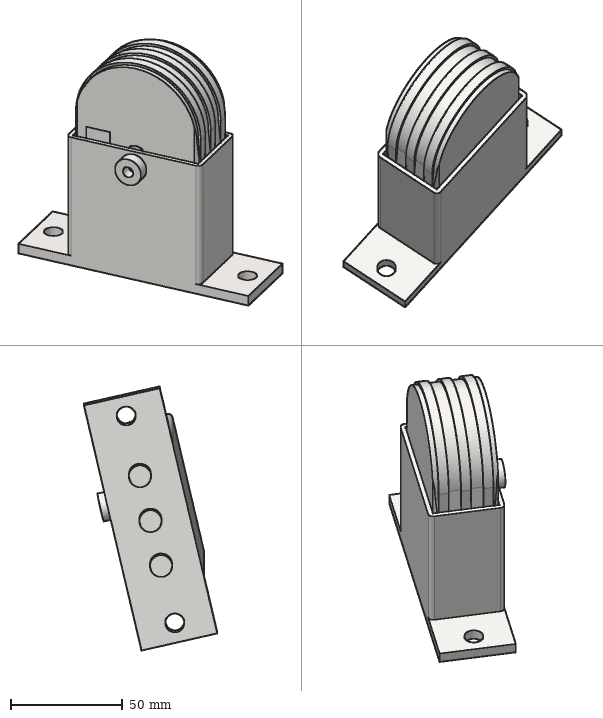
import cadquery as cq


flange_length = 115.0
depth = 35.0
flange_thickness = 5.0
mount_hole_diameter = 8.5
mount_hole_spacing = 97.1

box_width = 67.0
box_top = 65.0
wall = 2.2
box_corner_radius = 2.3

boss_diameter = 13.0
boss_length = 5.5
boss_bore_diameter = 5.1
boss_bore_depth = boss_length
boss_height = 57.0

block_depth = 30.0
block_top = 107.0
rib_radius = 31.3
rib_width = 4.6
rib_pitch = 10.2
rib_count = 3
groove_depth = 1.2
taper_length = 13.8
corner_chamfer = 2.0

lock_hole_diameter = 8.5
lock_hole_depth = 11.5
lock_hole_height = 62.5
lock_cone_diameter = 6.7
lock_cone_depth = 5.8

marker_width = 11.8
marker_height = 11.8
marker_depth = 0.1
marker_center_x = -18.9
marker_top = 70.6

pin_diameter = 10.0
pin_protrusion = 4.0
pin_spacing = 21.0
pin_count = 3

arc_center_height = block_top - rib_radius
block_front = -block_depth / 2
housing_front = -depth / 2


def centered_positions(count, spacing):
    """Evenly spaced positions, symmetric about zero."""
    return [(index - (count - 1) / 2) * spacing for index in range(count)]


pin_positions = centered_positions(pin_count, pin_spacing)


def front_plane(y, x=0, z=0):
    """Sketch plane facing -Y; extruding by a negative length goes into the part."""
    return cq.Workplane(cq.Plane(origin=(x, y, z), xDir=(1, 0, 0), normal=(0, -1, 0)))


def make_housing():
    flange = cq.Workplane("XY").box(flange_length, depth, flange_thickness, centered=(True, True, False))
    box = (
        cq.Workplane("XY")
        .box(box_width, depth, box_top, centered=(True, True, False))
        .edges("|Z")
        .fillet(box_corner_radius)
    )
    boss = front_plane(housing_front, z=boss_height).circle(boss_diameter / 2).extrude(boss_length)
    cavity = (
        cq.Workplane("XY", origin=(0, 0, flange_thickness))
        .rect(box_width - 2 * wall, depth - 2 * wall)
        .extrude(box_top - flange_thickness)
    )
    boss_bore = (
        front_plane(housing_front - boss_length, z=boss_height)
        .circle(boss_bore_diameter / 2)
        .extrude(-boss_bore_depth)
    )
    mount_holes = (
        cq.Workplane("XY")
        .pushPoints([(-mount_hole_spacing / 2, 0), (mount_hole_spacing / 2, 0)])
        .circle(mount_hole_diameter / 2)
        .extrude(flange_thickness)
    )
    pin_holes = (
        cq.Workplane("XY")
        .pushPoints([(x, 0) for x in pin_positions])
        .circle(pin_diameter / 2)
        .extrude(flange_thickness)
    )
    return flange.union(box).union(boss).cut(cavity).cut(boss_bore).cut(mount_holes).cut(pin_holes)


def make_block_core():
    """Groove-level body: its flanks widen from the arc down to the full rib width."""
    core_radius = rib_radius - groove_depth
    taper_end_height = arc_center_height - taper_length
    core = (
        front_plane(block_front)
        .moveTo(-rib_radius, flange_thickness)
        .lineTo(-rib_radius, taper_end_height)
        .lineTo(-core_radius, arc_center_height)
        .threePointArc((0, arc_center_height + core_radius), (core_radius, arc_center_height))
        .lineTo(rib_radius, taper_end_height)
        .lineTo(rib_radius, flange_thickness)
        .close()
        .extrude(-block_depth)
    )
    chamfered_column = (
        cq.Workplane("XY", origin=(0, 0, flange_thickness))
        .rect(2 * rib_radius, block_depth)
        .extrude(block_top - flange_thickness)
        .edges("|Z")
        .chamfer(corner_chamfer)
    )
    return core.intersect(chamfered_column)


def make_rib(y):
    """Half-round rib with straight legs, centred at the given Y."""
    return (
        front_plane(y - rib_width / 2)
        .moveTo(-rib_radius, flange_thickness)
        .lineTo(-rib_radius, arc_center_height)
        .threePointArc((0, block_top), (rib_radius, arc_center_height))
        .lineTo(rib_radius, flange_thickness)
        .close()
        .extrude(-rib_width)
    )


def make_lock_hole():
    """Blind hole ending in a smaller conical point."""
    bore = front_plane(block_front, z=lock_hole_height).circle(lock_hole_diameter / 2).extrude(-lock_hole_depth)
    cone = cq.Workplane(
        cq.Solid.makeCone(
            lock_cone_diameter / 2,
            0,
            lock_cone_depth,
            pnt=cq.Vector(0, block_front + lock_hole_depth, lock_hole_height),
            dir=cq.Vector(0, 1, 0),
        )
    )
    return bore.union(cone)


def make_block():
    block = make_block_core()
    for y in centered_positions(rib_count, rib_pitch):
        block = block.union(make_rib(y))
    marker = (
        front_plane(block_front, x=marker_center_x, z=marker_top - marker_height / 2)
        .rect(marker_width, marker_height)
        .extrude(-marker_depth)
    )
    return block.cut(make_lock_hole()).cut(marker)


def make_pin(x):
    """Guide pin filling its flange hole and standing out below."""
    return (
        cq.Workplane("XY", origin=(x, 0, -pin_protrusion))
        .circle(pin_diameter / 2)
        .extrude(pin_protrusion + flange_thickness)
    )


housing = make_housing()
block = make_block()
pins = [make_pin(x) for x in pin_positions]

result = cq.Compound.makeCompound([housing.val(), block.val(), *[pin.val() for pin in pins]])